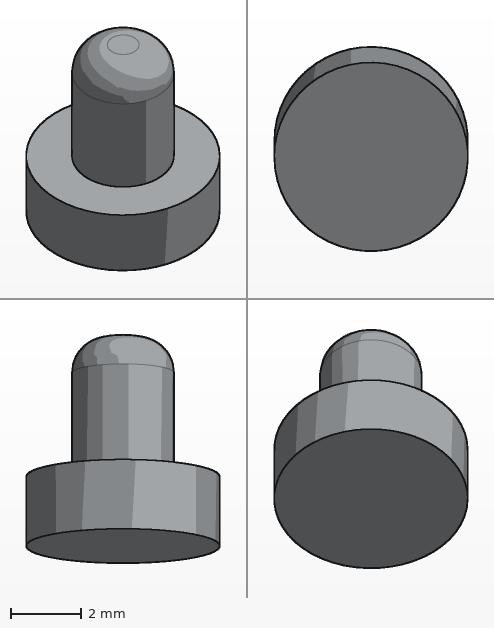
import cadquery as cq

HEAD_DIAMETER = 5.5
HEAD_HEIGHT = 2.0
PIN_DIAMETER = 2.9
TOTAL_HEIGHT = 6.0
TIP_RADIUS = 1.0

PIN_LENGTH = TOTAL_HEIGHT - HEAD_HEIGHT


def make_head():
    """Flat disc with its underside on Z = 0."""
    return cq.Workplane("XY").circle(HEAD_DIAMETER / 2).extrude(HEAD_HEIGHT)


def make_pin():
    """Pin standing on the head, with a rounded tip that leaves a small flat on top."""
    pin = cq.Workplane("XY").workplane(offset=HEAD_HEIGHT).circle(PIN_DIAMETER / 2).extrude(PIN_LENGTH)
    return pin.faces(">Z").edges().fillet(TIP_RADIUS)


result = make_head().union(make_pin())